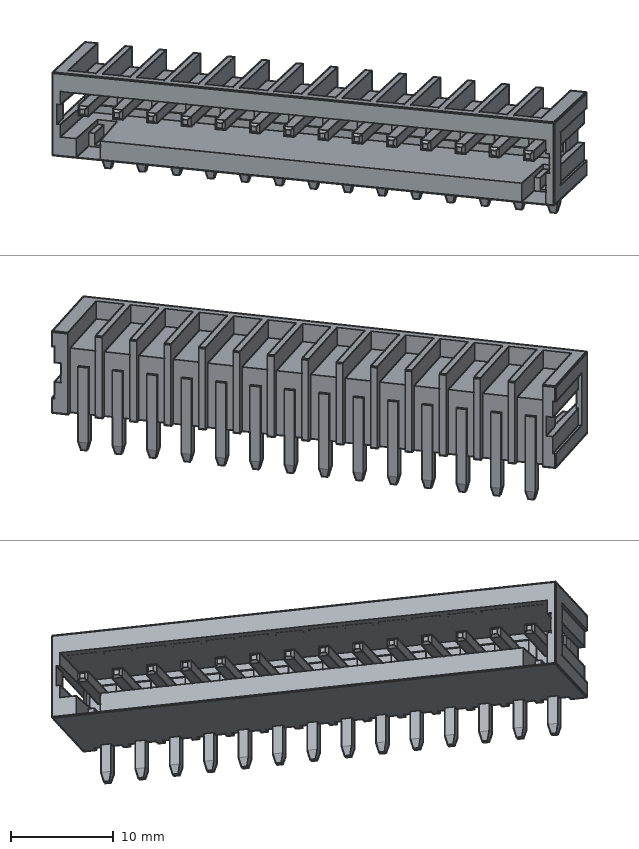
import cadquery as cq

length = 51.4
depth = 10.3
height = 8.55
edge_chamfer = 0.1

pin_count = 14
first_pin_x = 2.8
last_pin_x = 48.3
pin_width = 1.05
pin_axis_z = 4.4
pin_front_y = 1.15
pin_back_y = 9.8
pin_drop = 3.75
tip_length = 0.9
tip_width = 0.55
nose_length = 0.25
nose_width = 0.5

cavity_left_x = 1.15
cavity_right_x = length - cavity_left_x
cavity_bottom_z = 2.2
cavity_top_z = 6.4
block_front_y = 7.8
side_draft = 0.25
floor_draft = 0.2
socket_size = 2.8
socket_bottom_z = 3.0
socket_depth = 0.2

pocket_width = 2.85
pocket_front_y = 1.05
pocket_floor_z = 6.7
block_back_y = 9.5

notch_width = cavity_right_x - last_pin_x
notch_floor_z = 0.3
notch_end_y = 5.9
ledge_front_y = 3.1
ledge_floor_z = 0.5
ledge_post_width = 0.6
ledge_post_top_z = 1.7

recess_front_y = 2.0
recess_bottom_z = 1.55
recess_top_z = 6.95
recess_depth = 0.3
window_bottom_z = 3.3
window_top_z = 5.3
window_depth = 1.0
ramp_front_y = 6.75
groove_left_x = 0.5

pin_pitch = (last_pin_x - first_pin_x) / (pin_count - 1)


def box(x0, x1, y0, y1, z0, z1):
    """Box between two corners."""
    return cq.Workplane("XY").box(x1 - x0, y1 - y0, z1 - z0, centered=False).translate((x0, y0, z0))


def front_opening(x0, x1, end_y, z0, z1):
    """Rectangular opening that narrows from the front face to the given size at its inner end."""
    width = x1 - x0
    rise = z1 - z0
    return (
        cq.Workplane("XZ", origin=((x0 + x1) / 2, 0, (z0 + z1) / 2))
        .rect(width + 2 * side_draft, rise + 2 * floor_draft)
        .workplane(offset=-end_y)
        .rect(width, rise)
        .loft(ruled=True)
    )


def position_cut():
    """Roof pocket, back channel and contact socket of one position, centred on X = 0."""
    half_pocket = pocket_width / 2
    half_socket = socket_size / 2
    socket_end_y = block_front_y + socket_depth
    socket_top_z = socket_bottom_z + socket_size
    pocket = box(-half_pocket, half_pocket, pocket_front_y, depth, pocket_floor_z, height)
    channel = box(-half_pocket, half_pocket, block_back_y, depth, 0, height)
    socket = box(-half_socket, half_socket, block_front_y, socket_end_y, socket_bottom_z, socket_top_z)
    return pocket.union(channel).union(socket)


def key_notch(pin_x):
    """Notch through the front of the cavity floor, with an L-shaped ledge in its far half."""
    right = pin_x + notch_width
    notch = front_opening(pin_x, right, notch_end_y, notch_floor_z, cavity_bottom_z)
    ledge = box(pin_x, right, ledge_front_y, notch_end_y, notch_floor_z, ledge_floor_z)
    post = box(pin_x, pin_x + ledge_post_width, ledge_front_y, notch_end_y, notch_floor_z, ledge_post_top_z)
    return notch.cut(ledge).cut(post)


def left_latch_cut():
    """Shallow recess, deep ramped slot and window in the left end face."""
    recess = box(0, recess_depth, recess_front_y, depth, recess_bottom_z, recess_top_z)
    slot = (
        cq.Workplane("XY", origin=(0, 0, window_bottom_z))
        .moveTo(0, recess_front_y)
        .lineTo(cavity_left_x, recess_front_y)
        .lineTo(cavity_left_x, ramp_front_y)
        .lineTo(window_depth, block_front_y)
        .lineTo(window_depth, depth)
        .lineTo(0, depth)
        .close()
        .extrude(window_top_z - window_bottom_z)
    )
    groove = box(groove_left_x, cavity_left_x, 0, recess_front_y, window_bottom_z, window_top_z)
    return recess.union(slot).union(groove)


def contact():
    """L-shaped square pin with tapered ends, centred on X = 0."""
    half = pin_width / 2
    stem_y = pin_back_y - half
    arm_start_y = pin_front_y + nose_length
    arm = box(-half, half, arm_start_y, pin_back_y, pin_axis_z - half, pin_axis_z + half)
    nose = (
        cq.Workplane("XZ", origin=(0, arm_start_y, pin_axis_z))
        .rect(pin_width, pin_width)
        .workplane(offset=nose_length)
        .rect(nose_width, nose_width)
        .loft(ruled=True)
    )
    taper_z = tip_length - pin_drop
    stem = box(-half, half, stem_y - half, stem_y + half, taper_z, pin_axis_z)
    tip = (
        cq.Workplane("XY", origin=(0, stem_y, taper_z))
        .rect(pin_width, pin_width)
        .workplane(offset=-tip_length)
        .rect(tip_width, tip_width)
        .loft(ruled=True)
    )
    return arm.union(nose).union(stem).union(tip)


def along_row(feature):
    """Copies of a feature at every contact position."""
    positions = [(first_pin_x + i * pin_pitch, 0) for i in range(pin_count)]
    return cq.Workplane("XY").pushPoints(positions).eachpoint(lambda place: feature.val().moved(place))


result = box(0, length, 0, depth, 0, height).edges().chamfer(edge_chamfer)
result = result.cut(front_opening(cavity_left_x, cavity_right_x, block_front_y, cavity_bottom_z, cavity_top_z))

latch_cut = left_latch_cut()
result = result.cut(latch_cut).cut(latch_cut.mirror("YZ", (length / 2, 0, 0)))

for end_pin_x in (first_pin_x, last_pin_x):
    result = result.cut(key_notch(end_pin_x))

result = result.cut(along_row(position_cut()))
result = result.union(along_row(contact()))